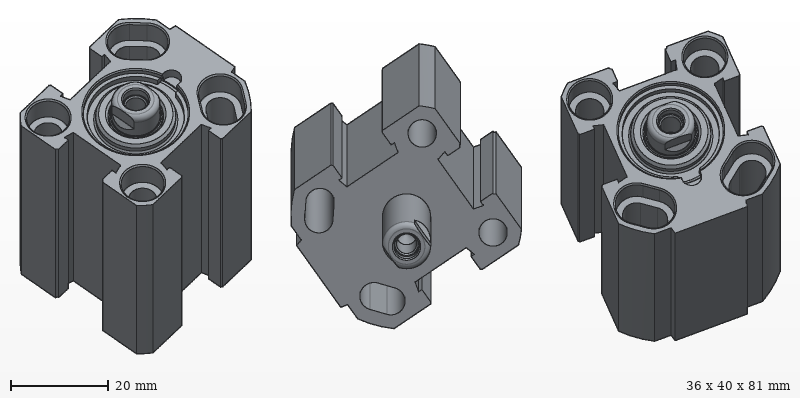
import cadquery as cq
import math


WIDTH = 36.0
HALF_WIDTH = WIDTH / 2
RAIL_FACE_Y = 22.0
BACK_FACE_Y = 20.6
RAIL_HALF_WIDTH = 8.0
RAIL_FLARE = 0.3
HOUSING_HEIGHT = 52.0
CORNER_RADIUS = 23.8

SLOT_FLOOR = 12.3
FRONT_SLOT_HALF_WIDTH = 5.9
SIDE_SLOT_HALF_WIDTH = 6.15
SLOT_OPENING_HALF_WIDTH = 6.4
SLOT_FLOOR_HALF_WIDTH = 6.4
SLOT_LIP_INNER = 14.4
UNDERCUT_HALF_WIDTH = 7.0

HOLE_OFFSET = 12.8
HOLE_DIAMETER = 5.8
COUNTERBORE_DIAMETER = 8.8
COUNTERBORE_DEPTH = 5.8
COUNTERBORE_CHAMFER = 0.3
LONG_HOLE_SHIFT_X = 2.8
LONG_HOLE_SHIFT_Y = 2.3

RING_TOP_DEPTH = 1.3
RING_THICKNESS = 1.45
RING_OUTER_DIAMETER = 22.8
RING_INNER_DIAMETER = 20.0
RING_GAP = 4.9
RING_BOTTOM_Z = HOUSING_HEIGHT - RING_TOP_DEPTH - RING_THICKNESS

BORE_DIAMETER = 21.6
BORE_CHAMFER = 0.28
NOTCH_DIAMETER = 4.1
NOTCH_Y = 11.3
NOTCH_DEPTH = 2.4

COVER_THICKNESS = 8.1
HUB_DIAMETER = 16.5
HUB_FOOT_DIAMETER = 17.3
HUB_TOP_DEPTH = 0.65
HUB_CHAMFER = 0.61
HUB_TOP_Z = HOUSING_HEIGHT - HUB_TOP_DEPTH
WIPER_SEAT_DIAMETER = 11.4
WIPER_SEAT_DEPTH = 3.2
WIPER_SEAT_CHAMFER = 0.53
COVER_BOTTOM_Z = RING_BOTTOM_Z - COVER_THICKNESS

WIPER_TOP_DEPTH = 0.8
WIPER_LIP_HEIGHT = 0.3
WIPER_LIP_DIAMETER = 10.45
WIPER_LIP_FOOT_DIAMETER = 10.9

ROD_DIAMETER = 10.0
ROD_LENGTH = 81.0
ROD_TOP_Z = 56.45
ROD_BOTTOM_Z = ROD_TOP_Z - ROD_LENGTH
ROD_END_ROUND = 1.2
ACROSS_FLATS = 8.0
FLAT_LENGTH = 3.5
TAP_MOUTH_DIAMETER = 5.8
TAP_RELIEF_DIAMETER = 5.3
TAP_RELIEF_DEPTH = 2.0
TAP_CHAMFER = 0.3
TAP_DIAMETER = 4.1
TAP_DEPTH = 9.7
TAP_TIP_ANGLE = 118.0


def cylinder(diameter, bottom, top):
    return cq.Workplane("XY", origin=(0, 0, bottom)).circle(diameter / 2).extrude(top - bottom)


def revolve_profile(points):
    """Turn (radius, Z) points about the Z axis."""
    return cq.Workplane("XZ").polyline(points).close().revolve(360, (0, 0, 0), (0, 1, 0))


def housing_blank():
    """Block with its four corners trimmed by a circle about the rod axis, and a rail on its back."""
    rail_root = RAIL_HALF_WIDTH + RAIL_FLARE
    block_depth = HALF_WIDTH + BACK_FACE_Y
    block = (
        cq.Workplane("XY")
        .center(0, (BACK_FACE_Y - HALF_WIDTH) / 2)
        .rect(WIDTH, block_depth)
        .extrude(HOUSING_HEIGHT)
    )
    block = block.intersect(cylinder(2 * CORNER_RADIUS, 0, HOUSING_HEIGHT))
    rail = (
        cq.Workplane("XY")
        .polyline(
            [
                (-rail_root, BACK_FACE_Y),
                (-RAIL_HALF_WIDTH, RAIL_FACE_Y),
                (RAIL_HALF_WIDTH, RAIL_FACE_Y),
                (rail_root, BACK_FACE_Y),
                (rail_root, 0),
                (-rail_root, 0),
            ]
        )
        .close()
        .extrude(HOUSING_HEIGHT)
    )
    return block.union(rail)


def sensor_slot(half_width, angle):
    """Slot in the front face with undercut lips and rounded lip corners, turned about Z."""
    lip_round = SLOT_OPENING_HALF_WIDTH - half_width
    lip_start = -HALF_WIDTH + lip_round
    outline = (
        cq.Workplane("XY")
        .moveTo(-SLOT_OPENING_HALF_WIDTH, -HALF_WIDTH)
        .radiusArc((-half_width, lip_start), lip_round)
        .lineTo(-half_width, -SLOT_LIP_INNER)
        .lineTo(-UNDERCUT_HALF_WIDTH, -SLOT_LIP_INNER)
        .lineTo(-SLOT_FLOOR_HALF_WIDTH, -SLOT_FLOOR)
        .lineTo(SLOT_FLOOR_HALF_WIDTH, -SLOT_FLOOR)
        .lineTo(UNDERCUT_HALF_WIDTH, -SLOT_LIP_INNER)
        .lineTo(half_width, -SLOT_LIP_INNER)
        .lineTo(half_width, lip_start)
        .radiusArc((SLOT_OPENING_HALF_WIDTH, -HALF_WIDTH), lip_round)
        .close()
    )
    return outline.extrude(HOUSING_HEIGHT).rotate((0, 0, 0), (0, 0, 1), angle)


def counterbored_hole(x, y, shift_x, shift_y):
    """Counterbored through hole, stretched along the shift when the shift is not zero."""
    stretch = math.hypot(shift_x, shift_y)
    angle = math.degrees(math.atan2(shift_y, shift_x))

    def outline(diameter, bottom):
        plane = cq.Workplane("XY", origin=(x + shift_x / 2, y + shift_y / 2, bottom))
        if stretch == 0:
            return plane.circle(diameter / 2)
        return plane.slot2D(diameter + stretch, diameter, angle)

    floor = HOUSING_HEIGHT - COUNTERBORE_DEPTH
    mouth = HOUSING_HEIGHT - COUNTERBORE_CHAMFER
    hole = outline(HOLE_DIAMETER, 0).extrude(HOUSING_HEIGHT)
    counterbore = outline(COUNTERBORE_DIAMETER, floor).extrude(COUNTERBORE_DEPTH)
    chamfer = outline(COUNTERBORE_DIAMETER, mouth).extrude(COUNTERBORE_CHAMFER, taper=-45)
    return hole.union(counterbore).union(chamfer)


def cover_pocket():
    """Bore for the cover, with the ring groove, the mouth chamfer and the ring removal notch."""
    radius = BORE_DIAMETER / 2
    bore = cylinder(BORE_DIAMETER, COVER_BOTTOM_Z, HOUSING_HEIGHT)
    groove = cylinder(RING_OUTER_DIAMETER, RING_BOTTOM_Z, RING_BOTTOM_Z + RING_THICKNESS)
    chamfer = revolve_profile(
        [
            (0, HOUSING_HEIGHT),
            (radius + BORE_CHAMFER, HOUSING_HEIGHT),
            (radius, HOUSING_HEIGHT - BORE_CHAMFER),
            (0, HOUSING_HEIGHT - BORE_CHAMFER),
        ]
    )
    notch = cylinder(NOTCH_DIAMETER, HOUSING_HEIGHT - NOTCH_DEPTH, HOUSING_HEIGHT).translate((0, NOTCH_Y, 0))
    return bore.union(groove).union(chamfer).union(notch)


def make_housing():
    housing = housing_blank()
    housing = housing.cut(sensor_slot(FRONT_SLOT_HALF_WIDTH, 0))
    for angle in (-90, 90):
        housing = housing.cut(sensor_slot(SIDE_SLOT_HALF_WIDTH, angle))
    for side in (-1, 1):
        x = side * HOLE_OFFSET
        housing = housing.cut(counterbored_hole(x, -HOLE_OFFSET, 0, 0))
        shift_x = -side * LONG_HOLE_SHIFT_X
        housing = housing.cut(counterbored_hole(x, HOLE_OFFSET, shift_x, LONG_HOLE_SHIFT_Y))
    housing = housing.cut(cover_pocket())
    return housing.cut(cylinder(ROD_DIAMETER, 0, HOUSING_HEIGHT))


def make_retaining_ring():
    """Flat ring that holds the cover in, open on its back side."""
    top = RING_BOTTOM_Z + RING_THICKNESS
    ring = cylinder(RING_OUTER_DIAMETER, RING_BOTTOM_Z, top)
    ring = ring.cut(cylinder(RING_INNER_DIAMETER, RING_BOTTOM_Z, top))
    gap = (
        cq.Workplane("XY", origin=(0, RING_OUTER_DIAMETER / 2, RING_BOTTOM_Z))
        .rect(RING_GAP, RING_OUTER_DIAMETER)
        .extrude(RING_THICKNESS)
    )
    return ring.cut(gap)


def make_cover():
    """Flange below the retaining ring, with a hub that rises inside the ring and seats the wiper."""
    flange_radius = BORE_DIAMETER / 2
    hub_radius = HUB_DIAMETER / 2
    foot_radius = HUB_FOOT_DIAMETER / 2
    rod_radius = ROD_DIAMETER / 2
    seat_radius = WIPER_SEAT_DIAMETER / 2
    seat_floor = HUB_TOP_Z - WIPER_SEAT_DEPTH
    return revolve_profile(
        [
            (rod_radius, COVER_BOTTOM_Z),
            (flange_radius, COVER_BOTTOM_Z),
            (flange_radius, RING_BOTTOM_Z),
            (foot_radius, RING_BOTTOM_Z),
            (hub_radius, RING_BOTTOM_Z + foot_radius - hub_radius),
            (hub_radius, HUB_TOP_Z - HUB_CHAMFER),
            (hub_radius - HUB_CHAMFER, HUB_TOP_Z),
            (seat_radius + WIPER_SEAT_CHAMFER, HUB_TOP_Z),
            (seat_radius, HUB_TOP_Z - WIPER_SEAT_CHAMFER),
            (seat_radius, seat_floor),
            (rod_radius, seat_floor),
        ]
    )


def make_wiper():
    bottom = HUB_TOP_Z - WIPER_SEAT_DEPTH
    lip_top = HUB_TOP_Z - WIPER_TOP_DEPTH
    shoulder = lip_top - WIPER_LIP_HEIGHT
    return revolve_profile(
        [
            (ROD_DIAMETER / 2, bottom),
            (WIPER_SEAT_DIAMETER / 2, bottom),
            (WIPER_SEAT_DIAMETER / 2, shoulder),
            (WIPER_LIP_FOOT_DIAMETER / 2, shoulder),
            (WIPER_LIP_DIAMETER / 2, lip_top),
            (ROD_DIAMETER / 2, lip_top),
        ]
    )


def wrench_flat_cutter():
    """Wedge that cuts one flat at the top end; its inner wall slopes outward at 45 degrees."""
    flat_y = ACROSS_FLATS / 2
    floor = ROD_TOP_Z - FLAT_LENGTH
    reach = ROD_DIAMETER
    return (
        cq.Workplane("YZ")
        .polyline([(flat_y, ROD_TOP_Z), (flat_y, floor), (reach, floor - reach + flat_y), (reach, ROD_TOP_Z)])
        .close()
        .extrude(ROD_DIAMETER / 2, both=True)
    )


def tapped_hole():
    mouth_radius = TAP_MOUTH_DIAMETER / 2
    relief_radius = TAP_RELIEF_DIAMETER / 2
    tap_radius = TAP_DIAMETER / 2
    tip_height = tap_radius / math.tan(math.radians(TAP_TIP_ANGLE / 2))
    return revolve_profile(
        [
            (0, ROD_TOP_Z),
            (mouth_radius, ROD_TOP_Z),
            (relief_radius, ROD_TOP_Z - mouth_radius + relief_radius),
            (relief_radius, ROD_TOP_Z - TAP_RELIEF_DEPTH),
            (tap_radius + TAP_CHAMFER, ROD_TOP_Z - TAP_RELIEF_DEPTH),
            (tap_radius, ROD_TOP_Z - TAP_RELIEF_DEPTH - TAP_CHAMFER),
            (tap_radius, ROD_TOP_Z - TAP_DEPTH),
            (0, ROD_TOP_Z - TAP_DEPTH - tip_height),
        ]
    )


def make_rod():
    """Round rod with the same wrench flats and tapped hole at both ends."""
    rod = cylinder(ROD_DIAMETER, ROD_BOTTOM_Z, ROD_TOP_Z).edges("%CIRCLE").fillet(ROD_END_ROUND)
    middle = (0, 0, (ROD_TOP_Z + ROD_BOTTOM_Z) / 2)
    end_cutter = wrench_flat_cutter().union(wrench_flat_cutter().mirror("XZ")).union(tapped_hole())
    return rod.cut(end_cutter).cut(end_cutter.mirror("XY", middle))


housing = make_housing()
retaining_ring = make_retaining_ring()
cover = make_cover()
wiper = make_wiper()
rod = make_rod()

result = cq.Compound.makeCompound(
    [
        housing.val(),
        retaining_ring.val(),
        cover.val(),
        wiper.val(),
        rod.val(),
    ]
)